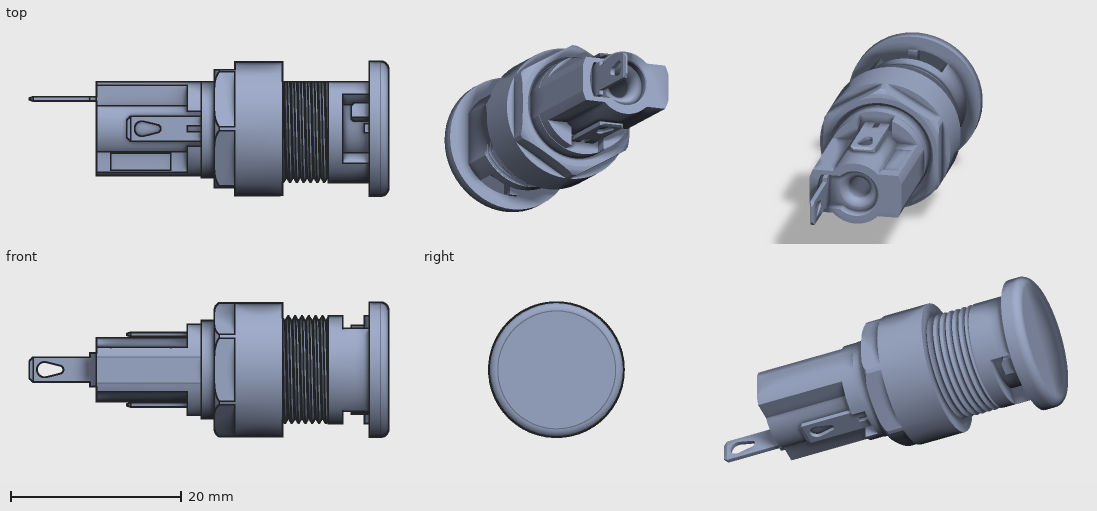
import cadquery as cq
import math


length = 42.2
tab_shoulder_x = 7.15
body_rear_x = 7.9
terminal_tip_x = 11.45
guard_x = 18.55
ring_x = 20.2
nut_rear_x = 21.7
nut_collar_x = 24.15
nut_front_x = 29.75
thread_end_x = 35.13
window_x = 36.8
flange_x = 39.9

hub_radius = 3.75
body_radius = 5.75
body_half_width = 5.55
bar_half_height = 2.6
guard_slot_half_width = 2.05
ring_radius = 5.8
neck_radius = 6.35
nut_radius = 7.85
nut_flat_distance = 6.92
nut_bore_radius = 5.85
nut_bore_depth = 0.85
nut_bore_chamfer = 0.42
nut_chamfer_length = 0.6
nut_chamfer_bulge = 0.13
flange_radius = 7.95
flange_fillet = 1.0

thread_pitch = 0.8
thread_root_radius = 5.8
thread_crest_radius = neck_radius - 0.02
thread_base_width = 0.75
thread_crest_width = 0.05
thread_burial = 0.1
thread_start_x = 29.2
thread_turns = 8

blade_thickness = 0.5
blade_half_width = 1.48
blade_tip_bevel = 0.45
blade_edge_bevel = 0.15
eye_big_offset = 1.8
eye_big_radius = 0.9
eye_small_offset = 3.55
eye_small_radius = 0.45
tab_center_y = 3.5
tab_shoulder_half_width = 2.0
tab_root_fillet = 0.5
terminal_center_z = 4.15
terminal_embed = 0.65
terminal_slit_half_width = 0.35

socket_depth = 1.25
socket_radius = 2.65
socket_rim_chamfer = 0.13
tab_pocket_radius = 4.6
funnel_radius = 2.1
funnel_length = 1.25
bore_radius = 1.3
bore_depth = 5.9
bore_cone_length = 1.25

label_x = 9.6
label_length = 7.0
label_inner_y = -2.85
label_outer_y = -4.9
label_depth = 0.1

window_half_angle = 39.5
window_floor_radius = 4.45
window_end_x = 40.95
latch_embed = 0.2
lug_x = 37.8
lug_base_z = 2.95
lug_radius = 5.4
lug_outer_y = 3.05
lug_inner_y = 1.35
lug_slope_width = 0.5
lug_corner_chamfer = 0.35
key_x = 39.35
key_y = (-0.45, 0.6)


def box(x_range, y_range, z_range):
    size = [high - low for low, high in (x_range, y_range, z_range)]
    return cq.Workplane("XY").box(*size, centered=False).translate((x_range[0], y_range[0], z_range[0]))


def disc(x_start, x_end, radius):
    return cq.Workplane("YZ", origin=(x_start, 0, 0)).circle(radius).extrude(x_end - x_start)


def sector(x_start, x_end, inner_radius, outer_radius, start_angle, end_angle):
    """Annular sector about the axis; angles run from +Z towards +Y."""

    def point(radius, angle):
        turn = math.radians(angle)
        return radius * math.sin(turn), radius * math.cos(turn)

    middle_angle = (start_angle + end_angle) / 2
    return (
        cq.Workplane("YZ", origin=(x_start, 0, 0))
        .moveTo(*point(inner_radius, start_angle))
        .lineTo(*point(outer_radius, start_angle))
        .threePointArc(point(outer_radius, middle_angle), point(outer_radius, end_angle))
        .lineTo(*point(inner_radius, end_angle))
        .threePointArc(point(inner_radius, middle_angle), point(inner_radius, start_angle))
        .close()
        .extrude(x_end - x_start)
    )


def half_turn(shape):
    return shape.rotate((0, 0, 0), (1, 0, 0), 180)


def make_body():
    """Rear body: a round hub with a flat bar across it and a slotted guard in front."""
    bar = box((body_rear_x, ring_x), (-body_radius, body_radius), (-bar_half_height, bar_half_height))
    slot_y = (-guard_slot_half_width, guard_slot_half_width)
    guard = disc(guard_x, ring_x, body_radius)
    guard = guard.cut(box((guard_x, ring_x), slot_y, (-body_radius, body_radius)))
    body = bar.union(guard).union(disc(body_rear_x, ring_x, hub_radius))
    body = body.intersect(disc(body_rear_x, ring_x, body_radius))
    flats = box((body_rear_x, ring_x), (-body_half_width, body_half_width), (-body_radius, body_radius))
    return body.intersect(flats)


def make_thread():
    """Helical ridge wound about X, its first crest on the -Z side."""
    root = thread_root_radius - thread_burial
    path = cq.Wire.makeHelix(thread_pitch, thread_pitch * thread_turns, root)
    ridge = (
        cq.Workplane("XZ")
        .moveTo(root, -thread_base_width / 2)
        .lineTo(thread_crest_radius, -thread_crest_width / 2)
        .lineTo(thread_crest_radius, thread_crest_width / 2)
        .lineTo(root, thread_base_width / 2)
        .close()
        .sweep(cq.Workplane(path), isFrenet=True)
    )
    return ridge.rotate((0, 0, 0), (0, 1, 0), 90).translate((thread_start_x, 0, 0))


def make_barrel():
    """Threaded barrel and neck, flattened along the +Y side."""
    barrel = disc(ring_x, nut_front_x, ring_radius)
    barrel = barrel.union(disc(nut_front_x, thread_end_x, thread_root_radius)).union(make_thread())
    barrel = barrel.union(disc(thread_end_x, flange_x, neck_radius))
    return barrel.cut(
        box((ring_x, flange_x), (body_half_width, flange_radius), (-flange_radius, flange_radius))
    )


def make_nut():
    """Collar nut: a hexagon with rounded-off rear corners and a round collar."""
    corner_radius = nut_flat_distance / math.cos(math.pi / 6)
    hexagon = (
        cq.Workplane("YZ", origin=(nut_rear_x, 0, 0))
        .polygon(6, 2 * corner_radius)
        .extrude(nut_collar_x - nut_rear_x)
        .rotate((0, 0, 0), (1, 0, 0), 30)
    )
    rounded = (
        cq.Workplane("XY")
        .moveTo(nut_rear_x, 0)
        .lineTo(nut_rear_x, nut_flat_distance)
        .sagittaArc((nut_rear_x + nut_chamfer_length, nut_radius), nut_chamfer_bulge)
        .lineTo(nut_collar_x, nut_radius)
        .lineTo(nut_collar_x, 0)
        .close()
        .revolve(360, (0, 0, 0), (1, 0, 0))
    )
    nut = hexagon.intersect(rounded).union(disc(nut_collar_x, nut_front_x, nut_radius))
    bore = (
        cq.Workplane("XY")
        .moveTo(nut_rear_x, 0)
        .lineTo(nut_rear_x, nut_bore_radius + nut_bore_chamfer)
        .lineTo(nut_rear_x + nut_bore_chamfer, nut_bore_radius)
        .lineTo(nut_rear_x + nut_bore_depth, nut_bore_radius)
        .lineTo(nut_rear_x + nut_bore_depth, 0)
        .close()
        .revolve(360, (0, 0, 0), (1, 0, 0))
    )
    return nut.cut(bore)


def make_flange():
    return disc(flange_x, length, flange_radius).faces(">X").edges().fillet(flange_fillet)


def make_window_cutter():
    """Arched window in the neck; its -Y half runs on into the rear of the flange."""

    def opening(x_start, x_end, end_angle):
        return sector(x_start, x_end, window_floor_radius, neck_radius, -window_half_angle, end_angle)

    neck_window = opening(window_x, flange_x, window_half_angle)
    return neck_window.union(opening(flange_x, window_end_x, 0))


def make_latch():
    """Lug with a round crown and one sloping side, and a locating key, both standing on the window floor."""
    base_z = window_floor_radius - latch_embed

    def crown_point(y):
        return y, math.sqrt(lug_radius**2 - y**2)

    lug = (
        cq.Workplane("YZ", origin=(lug_x, 0, 0))
        .moveTo(lug_outer_y, lug_base_z)
        .lineTo(*crown_point(lug_outer_y))
        .threePointArc(crown_point((lug_outer_y + lug_inner_y) / 2), crown_point(lug_inner_y))
        .lineTo(lug_inner_y - lug_slope_width, base_z)
        .lineTo(lug_inner_y - lug_slope_width, lug_base_z)
        .close()
        .extrude(window_end_x - lug_x)
    )
    lug_y = (lug_inner_y - lug_slope_width, lug_outer_y)
    lug = lug.intersect(
        box((lug_x, window_end_x), lug_y, (0, neck_radius))
        .edges("<X and |Z")
        .chamfer(lug_corner_chamfer)
    )
    key = box((key_x, window_end_x), key_y, (base_z, neck_radius))
    return lug.union(key)


def make_blade(blade_length):
    """Flat blade in the XY plane: bevelled tip at X = 0 and a teardrop wire eye."""
    half = blade_thickness / 2
    blade = box((0, blade_length), (-blade_half_width, blade_half_width), (-half, half))
    blade = blade.edges("<X and |Z").chamfer(blade_tip_bevel)
    blade = blade.faces("<X").edges("|Y").chamfer(blade_edge_bevel, blade_tip_bevel)
    return blade.cut(make_eye())


def make_eye():
    """Teardrop: two circles joined by their outer tangents."""
    tilt = math.asin((eye_big_radius - eye_small_radius) / (eye_small_offset - eye_big_offset))
    along, across = math.sin(tilt), math.cos(tilt)
    big_x, big_y = eye_big_offset + eye_big_radius * along, eye_big_radius * across
    small_x, small_y = eye_small_offset + eye_small_radius * along, eye_small_radius * across
    return (
        cq.Workplane("XY")
        .moveTo(big_x, big_y)
        .threePointArc((eye_big_offset - eye_big_radius, 0), (big_x, -big_y))
        .lineTo(small_x, -small_y)
        .threePointArc((eye_small_offset + eye_small_radius, 0), (small_x, small_y))
        .close()
        .extrude(blade_thickness, both=True)
    )


def make_solder_tab():
    """Rear tab standing in an XZ plane, with a wider shoulder at its root."""
    end_x = body_rear_x + socket_depth + terminal_embed
    shoulder = box(
        (tab_shoulder_x, end_x),
        (-tab_shoulder_half_width, tab_shoulder_half_width),
        (-blade_thickness / 2, blade_thickness / 2),
    )
    tab = make_blade(end_x).union(shoulder)
    tab = tab.rotate((0, 0, 0), (1, 0, 0), 90).translate((0, tab_center_y, 0))
    floor_x = body_rear_x + socket_depth
    face_y = tab_center_y - blade_thickness / 2
    curve_y = face_y - tab_root_fillet * (1 - math.sqrt(0.5))
    curve_x = floor_x - tab_root_fillet * (1 - math.sqrt(0.5))
    root_fillet = (
        cq.Workplane("XY")
        .moveTo(floor_x - tab_root_fillet, face_y)
        .threePointArc((curve_x, curve_y), (floor_x, face_y - tab_root_fillet))
        .lineTo(floor_x, face_y)
        .close()
        .extrude(tab_shoulder_half_width, both=True)
    )
    return tab.union(root_fillet)


def make_terminal():
    """Side terminal lying above the hub, rooted in the ring and slit at its root."""
    terminal = make_blade(ring_x + terminal_embed - terminal_tip_x)
    terminal = terminal.translate((terminal_tip_x, 0, terminal_center_z))
    slit = box(
        (guard_x, ring_x),
        (-terminal_slit_half_width, terminal_slit_half_width),
        (terminal_center_z - blade_thickness, terminal_center_z + blade_thickness),
    )
    return terminal.cut(slit)


def make_socket_cutter():
    """Counterbore, funnel and blind bore with a pointed pin at its bottom."""
    rim_radius = socket_radius + socket_rim_chamfer
    floor_x = body_rear_x + socket_depth
    funnel_end_x = floor_x + funnel_length
    bore_end_x = funnel_end_x + bore_depth
    funnel_drop = funnel_radius - bore_radius
    return (
        cq.Workplane("XY")
        .moveTo(body_rear_x, 0)
        .lineTo(body_rear_x, rim_radius)
        .lineTo(body_rear_x + socket_rim_chamfer, socket_radius)
        .lineTo(floor_x, socket_radius)
        .lineTo(floor_x, funnel_radius)
        .threePointArc(
            (
                floor_x + funnel_length * (1 - math.sqrt(0.5)),
                bore_radius + funnel_drop * (1 - math.sqrt(0.5)),
            ),
            (funnel_end_x, bore_radius),
        )
        .lineTo(bore_end_x, bore_radius)
        .lineTo(bore_end_x - bore_cone_length, 0)
        .close()
        .revolve(360, (0, 0, 0), (1, 0, 0))
    )


def make_tab_pocket_cutter():
    """Round-ended recess around the root of the solder tab."""
    pocket = disc(body_rear_x, body_rear_x + socket_depth, tab_pocket_radius)
    return pocket.intersect(
        box(
            (body_rear_x, body_rear_x + socket_depth),
            (0, tab_pocket_radius),
            (-guard_slot_half_width, guard_slot_half_width),
        )
    )


def make_label_cutter():
    return box(
        (label_x, label_x + label_length),
        (label_outer_y, label_inner_y),
        (bar_half_height - label_depth, bar_half_height),
    )


result = make_body().cut(make_label_cutter())
result = result.cut(make_socket_cutter()).cut(make_tab_pocket_cutter())
result = result.union(make_barrel()).union(make_nut()).union(make_flange())
window = make_window_cutter()
result = result.cut(window).cut(half_turn(window))
latch = make_latch()
terminal = make_terminal()
for insert in (latch, half_turn(latch), terminal, half_turn(terminal), make_solder_tab()):
    result = result.union(insert)